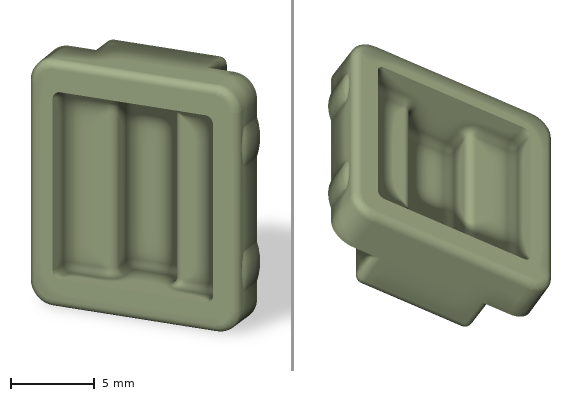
import cadquery as cq

height = 15.8
plate_width = 13.8
plate_depth = 2.8
plate_corner_radius = 1.5
boss_width = 7.96
boss_depth = 2.5
edge_radius = 0.5
outer_draft = 0.5

pocket_width = 10.52
pocket_base_width = 10.2
pocket_height = 11.96
shallow_depth = 1.74
deep_width = 3.92
deep_base_width = 3.82
deep_depth = 3.82
floor_radius = 0.5
end_radius = 0.49

pad_bulge = 0.2
pad_chord = 2.51
pad_spacing = 7.96
pad_length = 2.4
pad_end_radius = 0.73
pad_arc_radius = ((pad_chord / 2) ** 2 + pad_bulge**2) / (2 * pad_bulge)

front_y = -plate_depth


def block(width, depth, tall, start_y):
    """Box centred in X and Z that runs toward +Y from start_y."""
    return cq.Workplane("XY").box(width, depth, tall).translate((0, start_y + depth / 2, 0))


def make_plate():
    plate = cq.Workplane("XZ").rect(plate_width, height).extrude(plate_depth, taper=outer_draft)
    plate = plate.edges("not(|X or |Z)").fillet(plate_corner_radius)
    return plate.faces("<Y").edges().fillet(edge_radius)


def make_boss():
    boss = cq.Workplane("XZ").rect(boss_width, height).extrude(-boss_depth, taper=outer_draft)
    return boss.edges("not(<Y)").fillet(edge_radius)


def make_pad(side, z):
    """Cylinder with a rounded front end, trimmed to the chord of the pad."""
    axis_x = side * (plate_width / 2 + pad_bulge - pad_arc_radius)
    pad = cq.Workplane("XZ").center(axis_x, z).circle(pad_arc_radius).extrude(pad_length)
    pad = pad.faces("<Y").edges().fillet(pad_end_radius)
    trim_width = 4 * pad_bulge
    trim = block(trim_width, plate_depth, pad_chord, front_y)
    return pad.intersect(trim.translate((side * plate_width / 2, 0, z)))


def make_pocket():
    """Stepped profile run along Z, with rounded steps and a rounded edge along both ends."""
    shallow_y = front_y + shallow_depth
    deep_y = front_y + deep_depth
    half_profile = [
        (pocket_width / 2, front_y),
        (pocket_base_width / 2, shallow_y),
        (deep_width / 2, shallow_y),
        (deep_base_width / 2, deep_y),
    ]
    mirrored_half = [(-x, y) for x, y in reversed(half_profile)]
    pocket = cq.Workplane("XY").polyline(half_profile + mirrored_half).close()
    pocket = pocket.extrude(pocket_height / 2, both=True)
    pocket = pocket.edges("|Z").edges("not(<Y)").fillet(floor_radius)
    return pocket.faces("<Z or >Z").edges("not(<Y)").fillet(end_radius)


result = make_plate().union(make_boss())
for side in (-1, 1):
    for z in (-pad_spacing / 2, pad_spacing / 2):
        result = result.union(make_pad(side, z))
result = result.cut(make_pocket())